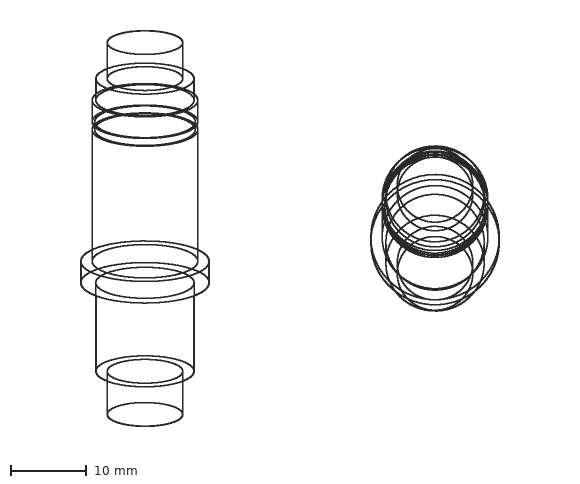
import cadquery as cq

total_height = 51.8
pin_diameter = 10.0
shoulder_diameter = 13.0
body_diameter = 14.0
groove_diameter = 13.3
flange_diameter = 17.0

lower_pin_length = 6.0
lower_shoulder_length = 12.35
collar_length = 3.0
groove_width = 1.1
upper_pin_length = 5.0

body_length = (
    total_height
    - lower_pin_length
    - lower_shoulder_length
    - 3 * collar_length
    - groove_width
    - upper_pin_length
)

sections = [
    (pin_diameter, lower_pin_length),
    (shoulder_diameter, lower_shoulder_length),
    (flange_diameter, collar_length),
    (body_diameter, body_length),
    (groove_diameter, groove_width),
    (body_diameter, collar_length),
    (shoulder_diameter, collar_length),
    (pin_diameter, upper_pin_length),
]


def stepped_shaft(steps):
    """Revolve a stepped half profile about the Z axis, starting at Z = 0."""
    profile = [(0, 0)]
    z = 0
    for diameter, length in steps:
        radius = diameter / 2
        profile.append((radius, z))
        z += length
        profile.append((radius, z))
    profile.append((0, z))
    return cq.Workplane("XZ").polyline(profile).close().revolve(360, (0, 0), (0, 1))


result = stepped_shaft(sections)